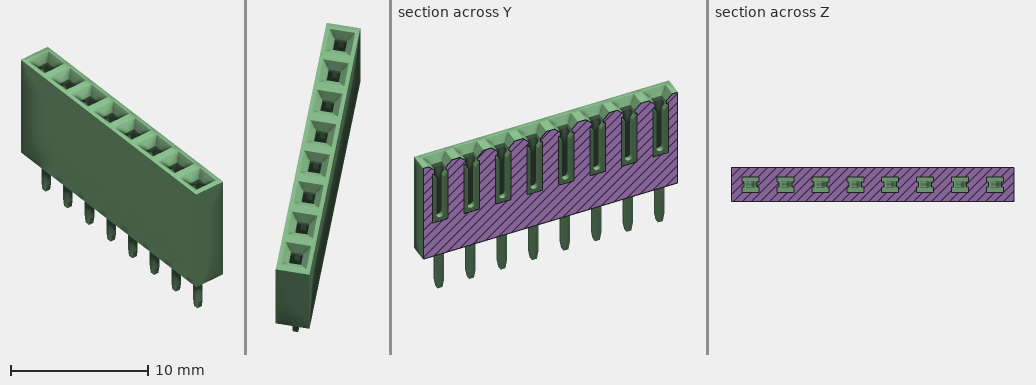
import cadquery as cq
import math

HOUSING_LENGTH = 20.57
HOUSING_WIDTH = 2.5
HOUSING_HEIGHT = 8.5

CONTACT_COUNT = 8
PITCH = 2.54

FUNNEL_MOUTH = 1.9
FUNNEL_DEPTH = 0.5
THROAT_SIDE = 0.9
THROAT_DEPTH = 0.35
CAVITY_LENGTH = 1.2
CAVITY_WIDTH = 1.1
CAVITY_DEPTH = 4.5

BLADE_THICKNESS = 0.4
PIN_WIDTH = 0.64
PIN_LENGTH = 3.15
TIP_WIDTH = 0.4
TIP_LENGTH = 0.65
FORK_TOP_DEPTH = 1.0
FORK_GAP = 0.6
FORK_ROOT_HEIGHT = 0.3
FORK_LEAD_IN_ANGLE = math.radians(52)

CONTACT_XS = [(i - (CONTACT_COUNT - 1) / 2) * PITCH for i in range(CONTACT_COUNT)]
FUNNEL_BOTTOM = HOUSING_HEIGHT - FUNNEL_DEPTH
THROAT_BOTTOM = FUNNEL_BOTTOM - THROAT_DEPTH
CAVITY_FLOOR = THROAT_BOTTOM - CAVITY_DEPTH
GAP_BOTTOM = CAVITY_FLOOR + FORK_ROOT_HEIGHT


def make_housing():
    return cq.Workplane("XY").box(
        HOUSING_LENGTH, HOUSING_WIDTH, HOUSING_HEIGHT, centered=(True, True, False)
    )


def make_socket(x):
    """Void of one socket: a tapered funnel, a square throat and a wider cavity."""
    funnel = (
        cq.Workplane("XY", origin=(x, 0, FUNNEL_BOTTOM))
        .rect(THROAT_SIDE, THROAT_SIDE)
        .workplane(offset=FUNNEL_DEPTH)
        .rect(FUNNEL_MOUTH, FUNNEL_MOUTH)
        .loft(ruled=True)
    )
    throat = cq.Workplane("XY", origin=(x, 0, THROAT_BOTTOM)).box(
        THROAT_SIDE, THROAT_SIDE, THROAT_DEPTH, centered=(True, True, False)
    )
    cavity = cq.Workplane("XY", origin=(x, 0, CAVITY_FLOOR)).box(
        CAVITY_LENGTH, CAVITY_WIDTH, CAVITY_DEPTH, centered=(True, True, False)
    )
    return funnel.union(throat).union(cavity)


def make_fork(x):
    """Blade filling the cavity length, split by a round-bottomed gap with sloped tine tips."""
    half_fork = CAVITY_LENGTH / 2
    half_gap = FORK_GAP / 2
    tip_z = HOUSING_HEIGHT - FORK_TOP_DEPTH
    gap_top_z = tip_z - (half_fork - half_gap) * math.tan(FORK_LEAD_IN_ANGLE)
    arc_end_z = GAP_BOTTOM + half_gap
    return (
        cq.Workplane("XZ", origin=(x, 0, 0))
        .moveTo(-half_fork, CAVITY_FLOOR)
        .lineTo(-half_fork, tip_z)
        .lineTo(-half_gap, gap_top_z)
        .lineTo(-half_gap, arc_end_z)
        .threePointArc((0, GAP_BOTTOM), (half_gap, arc_end_z))
        .lineTo(half_gap, gap_top_z)
        .lineTo(half_fork, tip_z)
        .lineTo(half_fork, CAVITY_FLOOR)
        .close()
        .extrude(BLADE_THICKNESS / 2, both=True)
    )


def make_pin(x):
    """Solder pin with its tip tapered in X only."""
    tip_start = TIP_LENGTH - PIN_LENGTH
    return (
        cq.Workplane("XZ", origin=(x, 0, 0))
        .polyline([
            (-PIN_WIDTH / 2, 0),
            (-PIN_WIDTH / 2, tip_start),
            (-TIP_WIDTH / 2, -PIN_LENGTH),
            (TIP_WIDTH / 2, -PIN_LENGTH),
            (PIN_WIDTH / 2, tip_start),
            (PIN_WIDTH / 2, 0),
        ])
        .close()
        .extrude(BLADE_THICKNESS / 2, both=True)
    )


result = make_housing()
for contact_x in CONTACT_XS:
    result = result.cut(make_socket(contact_x))
    result = result.union(make_fork(contact_x))
    result = result.union(make_pin(contact_x))